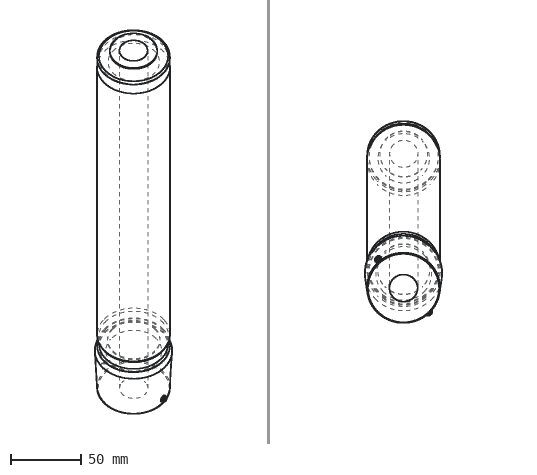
import cadquery as cq

HEIGHT = 352.5
BODY_RADIUS = 52.0 / 2
BORE_RADIUS = 20.0 / 2

FOOT_HEIGHT = 39.0
FOOT_BOTTOM_RADIUS = BODY_RADIUS
FOOT_TOP_RADIUS = 55.5 / 2
FOOT_CHAMFER = 0.7
PIN_DIAMETER = 5.0
PIN_CHAMFER = 0.7
PIN_SPAN = 56.8
PIN_HEIGHT = 6.0

RIM_EDGE_RADIUS = 24.7
RIM_THICKNESS = 2.8
LOWER_RIM_CENTER = 44.8
UPPER_RIM_CENTER = 345.5

LOWER_DISC_BASE_RADIUS = 40.0 / 2
LOWER_NECK_RADIUS = 18.7
LOWER_NECK_BOTTOM = 49.7
LOWER_NECK_TOP = 50.8
UPPER_NECK_RADIUS = 18.5
UPPER_NECK_HEIGHT = 341.0
TOP_FACE_RADIUS = 34.0 / 2
TOP_LIP_HEIGHT = 1.0

BODY_BOTTOM = 53.5
BODY_TOP = 336.3
SHOULDER_RADIUS = 25.0
LOWER_SHOULDER_HEIGHT = 2.0
UPPER_SHOULDER_HEIGHT = 0.7


def add_rim(profile, center):
    """Continue the half profile upward around a rounded disc rim."""
    half = RIM_THICKNESS / 2
    return profile.lineTo(RIM_EDGE_RADIUS, center - half).threePointArc(
        (BODY_RADIUS, center), (RIM_EDGE_RADIUS, center + half)
    )


def make_turned_column():
    """Revolve the foot, discs, necks and body as one solid around Z."""
    profile = (
        cq.Workplane("XZ")
        .moveTo(0, 0)
        .lineTo(FOOT_BOTTOM_RADIUS - FOOT_CHAMFER, 0)
        .lineTo(FOOT_BOTTOM_RADIUS, FOOT_CHAMFER)
        .lineTo(FOOT_TOP_RADIUS, FOOT_HEIGHT)
        .lineTo(LOWER_DISC_BASE_RADIUS, FOOT_HEIGHT)
    )
    profile = add_rim(profile, LOWER_RIM_CENTER)
    profile = (
        profile.lineTo(LOWER_NECK_RADIUS, LOWER_NECK_BOTTOM)
        .lineTo(LOWER_NECK_RADIUS, LOWER_NECK_TOP)
        .lineTo(SHOULDER_RADIUS, BODY_BOTTOM)
        .lineTo(BODY_RADIUS, BODY_BOTTOM + LOWER_SHOULDER_HEIGHT)
        .lineTo(BODY_RADIUS, BODY_TOP - UPPER_SHOULDER_HEIGHT)
        .lineTo(SHOULDER_RADIUS, BODY_TOP)
        .lineTo(UPPER_NECK_RADIUS, UPPER_NECK_HEIGHT)
    )
    profile = add_rim(profile, UPPER_RIM_CENTER)
    profile = (
        profile.lineTo(TOP_FACE_RADIUS, HEIGHT - TOP_LIP_HEIGHT)
        .lineTo(TOP_FACE_RADIUS, HEIGHT)
        .lineTo(0, HEIGHT)
        .close()
    )
    return profile.revolve(360, (0, 0, 0), (0, 1, 0))


def make_cross_pin():
    """One rod along X whose two chamfered ends stand out of the foot."""
    return (
        cq.Workplane("YZ")
        .center(0, PIN_HEIGHT)
        .circle(PIN_DIAMETER / 2)
        .extrude(PIN_SPAN / 2, both=True)
        .faces("<X or >X")
        .chamfer(PIN_CHAMFER)
    )


def make_bore():
    """Straight bore through the full height."""
    return cq.Workplane("XY").circle(BORE_RADIUS).extrude(HEIGHT)


result = make_turned_column().union(make_cross_pin()).cut(make_bore())